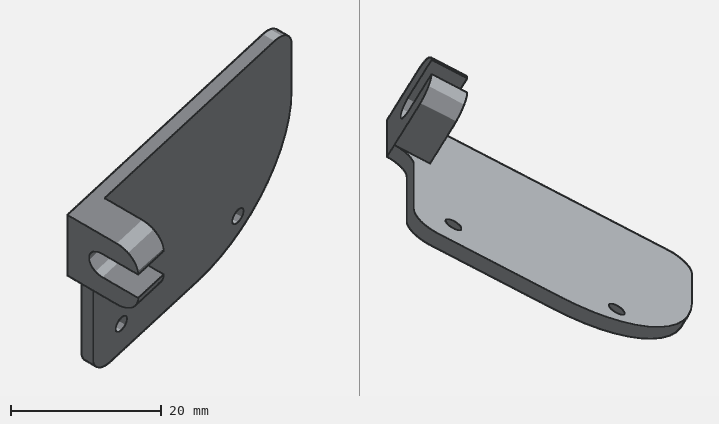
import cadquery as cq

plate_length = 45.5
plate_height = 32.95
plate_thickness = 2.0
arm_reach = 12.0

corner_radius = 3.7
large_corner_radius = 20.0
relief_depth = 3.0

hole_diameter = 2.4
hole_height = 5.4
hole_positions_y = (9.05, 34.0)

arm_width = 5.45
slot_width = 4.55
slot_end_x = 3.7
arm_corner_radius = 3.65
arm_height = slot_width + 2 * arm_corner_radius
arm_bottom = plate_height - arm_height


def box(size_x, size_y, size_z):
    """Box with its lowest corner at the origin."""
    return cq.Workplane("XY").box(size_x, size_y, size_z, centered=False)


def make_plate():
    """Plate with rounded corners and a filleted relief below the arm."""
    blank = (
        cq.Workplane("YZ")
        .moveTo(0, plate_height)
        .lineTo(plate_length, plate_height)
        .lineTo(plate_length, 0)
        .lineTo(relief_depth, 0)
        .lineTo(relief_depth, arm_bottom - relief_depth)
        .radiusArc((0, arm_bottom), -relief_depth)
        .close()
        .extrude(plate_thickness)
    )
    plate = blank.edges("|X and >Y and >Z").fillet(corner_radius)
    plate = plate.edges("|X and >Y and <Z").fillet(large_corner_radius)
    lower_front_corner = cq.selectors.NearestToPointSelector((plate_thickness / 2, relief_depth, 0))
    plate = plate.edges(lower_front_corner).fillet(corner_radius)
    holes = (
        cq.Workplane("YZ")
        .pushPoints([(y, hole_height) for y in hole_positions_y])
        .circle(hole_diameter / 2)
        .extrude(plate_thickness)
    )
    return plate.cut(holes)


def make_arm():
    """Arm with rounded outer corners and a round-ended slot open at its tip."""
    arm = box(arm_reach, arm_width, arm_height).edges("|Y and >X").fillet(arm_corner_radius)
    slot_radius = slot_width / 2
    slot_center_x = slot_end_x + slot_radius
    slot = box(arm_reach - slot_center_x, arm_width, slot_width).translate(
        (slot_center_x, 0, arm_height / 2 - slot_radius)
    )
    slot_end = (
        cq.Workplane("XZ")
        .center(slot_center_x, arm_height / 2)
        .circle(slot_radius)
        .extrude(-arm_width)
    )
    return arm.cut(slot).cut(slot_end).translate((0, 0, arm_bottom))


result = make_plate().union(make_arm())